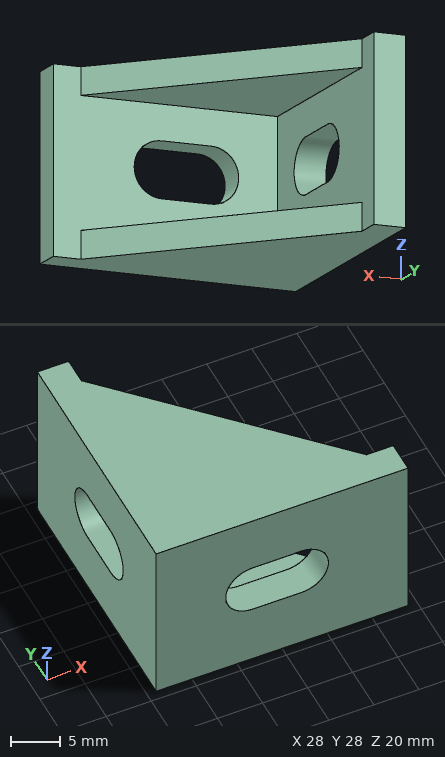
import cadquery as cq

leg_length = 28.0
height = 20.0
wall = 3.5
lip = 3.0

floor_thickness = 3.0
roof_thickness = 3.0
pocket_height = height - floor_thickness - roof_thickness

slot_length = 11.4
slot_width = 6.0
slot_along_leg = 13.45
slot_height = 10.2
cut_depth = 2 * wall


def bracket_body():
    """Two legs at right angles, joined by a solid triangular gusset."""
    gusset_end = leg_length - lip
    outline = [
        (0, 0),
        (leg_length, 0),
        (leg_length, wall),
        (gusset_end, wall),
        (wall, gusset_end),
        (wall, leg_length),
        (0, leg_length),
    ]
    return cq.Workplane("XY").polyline(outline).close().extrude(height)


def gusset_pocket():
    """Space between the legs that leaves a floor and a roof gusset."""
    outline = [(wall, wall), (leg_length, wall), (wall, leg_length)]
    return (
        cq.Workplane("XY", origin=(0, 0, floor_thickness))
        .polyline(outline)
        .close()
        .extrude(pocket_height)
    )


def leg_slot(plane):
    """Rounded slot through the leg lying on the given plane."""
    return (
        cq.Workplane(plane)
        .center(slot_along_leg, slot_height)
        .slot2D(slot_length, slot_width)
        .extrude(cut_depth, both=True)
    )


result = bracket_body().cut(gusset_pocket())
for leg_plane in ("XZ", "YZ"):
    result = result.cut(leg_slot(leg_plane))